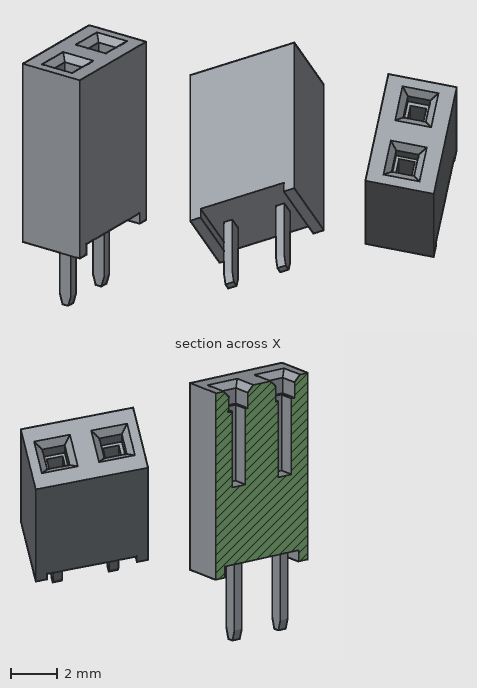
import cadquery as cq

housing_width = 3.04
housing_length = 5.0
total_height = 11.5
housing_height = 8.5
foot_height = 0.51
foot_length = 0.51

socket_pitch = 2.54
funnel_mouth = 1.6
shaft_side = 1.0
funnel_depth = 0.3
shaft_depth = 0.7
contact_side = 0.7
contact_depth = 3.45

pin_pitch = 2.5
pin_width = 0.6
pin_thickness = 0.4
tip_width = 0.3
tip_height = 0.5

foot_bottom = total_height - housing_height
housing_bottom = foot_bottom + foot_height
shaft_top = total_height - funnel_depth
shaft_floor = shaft_top - shaft_depth


def paired_positions(pitch):
    """The two places along Y, spaced evenly about the centre."""
    return [-pitch / 2, pitch / 2]


def make_housing():
    block = cq.Workplane("XY", origin=(0, 0, foot_bottom)).rect(housing_width, housing_length)
    block = block.extrude(housing_height)
    gap_length = housing_length - 2 * foot_length
    gap = cq.Workplane("XY", origin=(0, 0, foot_bottom)).rect(housing_width, gap_length)
    return block.cut(gap.extrude(foot_height))


def make_funnel(y):
    mouth = cq.Workplane("XY", origin=(0, y, total_height)).rect(funnel_mouth, funnel_mouth)
    return mouth.workplane(offset=-funnel_depth).rect(shaft_side, shaft_side).loft(ruled=True)


def make_square_hole(y, top, side, depth):
    return cq.Workplane("XY", origin=(0, y, top)).rect(side, side).extrude(-depth)


def make_pin(y):
    outline = [
        (-tip_width / 2, 0),
        (tip_width / 2, 0),
        (pin_width / 2, tip_height),
        (pin_width / 2, housing_bottom),
        (-pin_width / 2, housing_bottom),
        (-pin_width / 2, tip_height),
    ]
    profile = cq.Workplane("XZ", origin=(0, y, 0)).polyline(outline).close()
    return profile.extrude(pin_thickness / 2, both=True)


result = make_housing()

for socket_y in paired_positions(socket_pitch):
    result = result.cut(make_funnel(socket_y))
    result = result.cut(make_square_hole(socket_y, shaft_top, shaft_side, shaft_depth))

for pin_y in paired_positions(pin_pitch):
    result = result.cut(make_square_hole(pin_y, shaft_floor, contact_side, contact_depth))
    result = result.union(make_pin(pin_y))